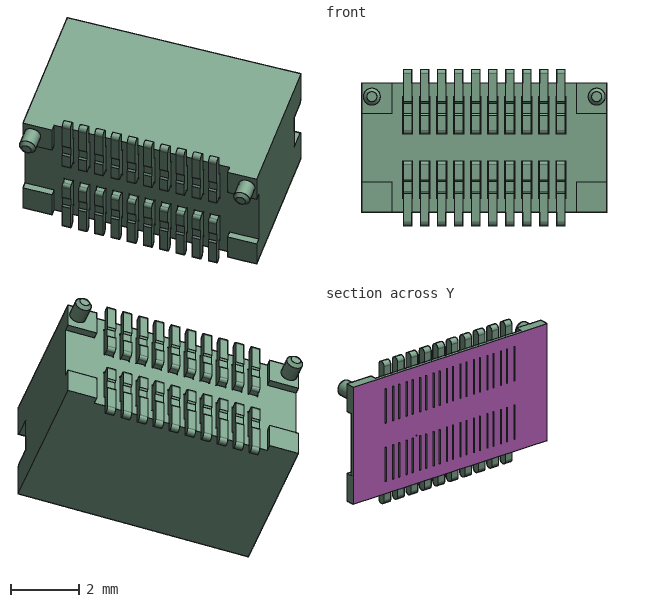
import cadquery as cq


length = 7.2
height = 3.8
housing_depth = 4.3
pad_size = 0.9
pad_height = 0.2

channel_depth = 0.66
channel_height = 1.3
channel_chamfer = 0.1

peg_diameter = 0.5
peg_length = 0.605
peg_chamfer = 0.1
peg_side_inset = 0.3
peg_top_inset = 0.4

contacts_per_row = 10
row_span = 4.5
contact_pitch = row_span / (contacts_per_row - 1)
contact_width = 0.25
contact_thickness = 0.25
tip_to_tip = 4.6
contact_tip_z = tip_to_tip / 2
contact_inner_z = 0.395
inner_radius = 0.1
tip_radius = contact_thickness / 2

groove_from_tip = 0.95
groove_width = 0.4
groove_depth = 0.05

slot_width = 0.3
slot_depth = 0.2
slot_top_inset = 0.4
slot_top_z = height / 2 - slot_top_inset

mating_y = housing_depth
floor_y = pad_height
contact_front_y = floor_y - contact_thickness
slot_floor_y = floor_y + slot_depth
contact_xs = [i * contact_pitch - row_span / 2 for i in range(contacts_per_row)]


def box(x_size, y_min, y_max, z_min, z_max, x_center=0.0):
    """Box centred on x_center that fills the given Y and Z ranges."""
    return cq.Workplane("XY").box(
        x_size, y_max - y_min, z_max - z_min, centered=(True, False, False)
    ).translate((x_center, y_min, z_min))


def extrude_along_x(profile, width):
    """Extrude a YZ profile equally to both sides of X = 0."""
    return profile.extrude(width / 2, both=True)


def make_housing():
    """Block with a raised pad at each corner of its mounting side."""
    block = box(length, floor_y, mating_y, -height / 2, height / 2)
    pad_centers = [
        (sx * (length - pad_size) / 2, sz * (height - pad_size) / 2)
        for sx in (-1, 1)
        for sz in (-1, 1)
    ]
    for x, z in pad_centers:
        pad = box(pad_size, 0, floor_y, z - pad_size / 2, z + pad_size / 2, x)
        block = block.union(pad)
    return block


def make_channel():
    """Channel along the mating side, with chamfered lips."""
    half = channel_height / 2
    bottom_y = mating_y - channel_depth
    lip_y = mating_y - channel_chamfer
    lip_half = half + channel_chamfer
    profile = cq.Workplane("YZ").polyline([
        (bottom_y, -half),
        (lip_y, -half),
        (mating_y, -lip_half),
        (mating_y, lip_half),
        (lip_y, half),
        (bottom_y, half),
    ]).close()
    return extrude_along_x(profile, length)


def make_peg(x):
    """Round peg with a chamfered end, standing on an upper corner pad."""
    z = height / 2 - peg_top_inset
    peg = cq.Workplane("XZ").circle(peg_diameter / 2).extrude(peg_length)
    return peg.faces("<Y").chamfer(peg_chamfer).translate((x, 0, z))


def make_upper_contact():
    """Flat contact at X = 0 with a rounded tip, a front groove and a root."""
    bar = box(contact_width, contact_front_y, floor_y, contact_inner_z, contact_tip_z)
    groove_top = contact_tip_z - groove_from_tip
    groove_bottom = groove_top - groove_width
    groove_floor_y = contact_front_y + groove_depth

    bar = bar.edges("(<Y) and (<Z)").fillet(inner_radius)
    tip_z = contact_tip_z - tip_radius
    tip_y = contact_front_y + tip_radius
    tip_corner = box(contact_width, contact_front_y, floor_y, tip_z, contact_tip_z)
    tip_cylinder = extrude_along_x(
        cq.Workplane("YZ").center(tip_y, tip_z).circle(tip_radius), contact_width
    )
    groove = extrude_along_x(
        cq.Workplane("YZ").polyline([
            (contact_front_y, groove_top),
            (groove_floor_y, groove_top - groove_depth),
            (groove_floor_y, groove_bottom + groove_depth),
            (contact_front_y, groove_bottom),
        ]).close(),
        contact_width,
    )
    root = box(contact_width, floor_y, slot_floor_y, contact_inner_z, slot_top_z)
    return bar.cut(tip_corner).union(tip_cylinder).cut(groove).union(root)


def with_lower_row(upper):
    """The upper-row shape together with its mirror image in the lower row."""
    return [upper, upper.mirror("XY")]


result = make_housing().cut(make_channel())

peg_x = length / 2 - peg_side_inset
for x in (-peg_x, peg_x):
    result = result.union(make_peg(x))

upper_slot = box(slot_width, floor_y, slot_floor_y, contact_inner_z, slot_top_z)
for slot in with_lower_row(upper_slot):
    for x in contact_xs:
        result = result.cut(slot.translate((x, 0, 0)))

for contact in with_lower_row(make_upper_contact()):
    for x in contact_xs:
        result = result.union(contact.translate((x, 0, 0)))